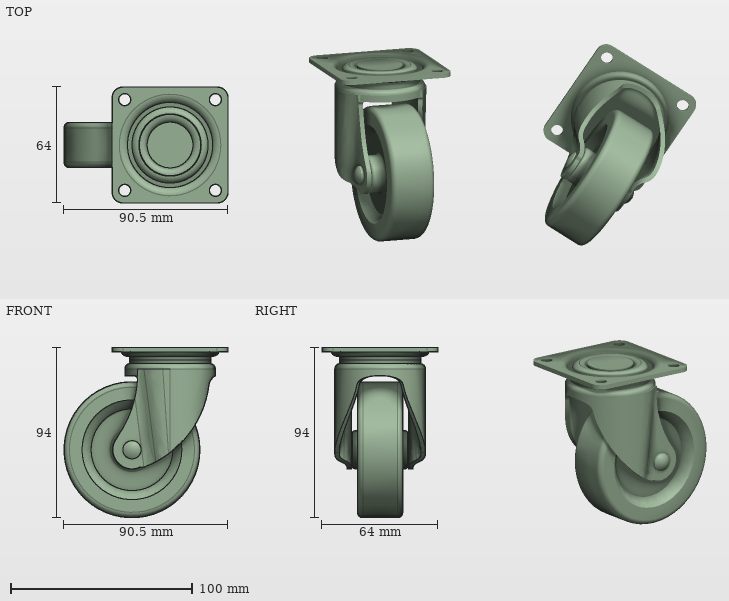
import cadquery as cq
import math


plate_side = 64.0
plate_thickness = 2.5
plate_corner_radius = 6.0
mount_hole_pitch = 50.0
mount_hole_diameter = 6.5
dish_depth = 2.5
dish_outer_radius = 28.0
dish_under_radius = 27.0
dish_floor_outer_radius = 23.5
dish_floor_inner_radius = 21.0
plate_bore_radius = 17.2
collar_radius = 22.5
collar_height = 2.0
dish_bottom_z = -(plate_thickness + dish_depth)
collar_joint_z = dish_bottom_z - collar_height

king_pin_flange_radius = 16.9
king_pin_radius = 12.6
king_pin_groove_depth = 1.9

wheel_radius = 37.5
swivel_offset = 21.0
axle_x = -swivel_offset
axle_z = -56.5

wheel_half_width = 12.5
tread_fillet = 3.0
recess_outer_radius = 27.5
recess_inner_radius = 22.5
recess_depth = 5.0
hub_radius = 10.5
hub_half_width = 15.25
hub_fillet = 1.5

axle_radius = 4.0
axle_head_radius = 5.0
bolt_head_rim = 1.35
bolt_head_dome = 2.2
rivet_head_rim = 0.6
rivet_head_dome = 1.4

sheet_thickness = 2.5
crown_radius = 25.0
crown_top_z = collar_joint_z - collar_height
crown_fillet = 3.0
crown_under_z = crown_top_z - sheet_thickness
skirt_top_z = crown_top_z - crown_fillet
crown_lip_z = -15.7
leg_outer_y = 18.25
leg_end_radius = 10.7
leg_front_x = -18.0
leg_root_radius = 2.0
back_hollow_mid = (22.8, -17.6)
back_curve_top = (21.5, -20.7)
back_curve_mid = (13.5, -43.3)
back_curve_bottom = (-14.5, -66.1)
boss_lower_angle = -65
boss_upper_angle = -215
front_curve_mid = (-21.4, -34.8)
skirt_bottom_z = -68.0
bend_concave_length = 7.0
bend_top_start_x = -21.4
bend_top_end_x = -4.0
bend_bottom_start_x = -14.2
bend_bottom_end_x = -0.2


def rolled_edge_mid(top_radius, bottom_radius, depth):
    """Middle point of an arc that leaves the top face smoothly and drops to depth at bottom_radius."""
    run = abs(bottom_radius - top_radius)
    arc_radius = (run ** 2 + depth ** 2) / (2 * depth)
    half_angle = math.asin(run / arc_radius) / 2
    step = math.copysign(arc_radius * math.sin(half_angle), bottom_radius - top_radius)
    return top_radius + step, arc_radius * (math.cos(half_angle) - 1)


def make_plate():
    half_pitch = mount_hole_pitch / 2
    corners = [(x, y) for x in (-half_pitch, half_pitch) for y in (-half_pitch, half_pitch)]
    sheet = (
        cq.Workplane("XY")
        .rect(plate_side, plate_side)
        .extrude(-plate_thickness)
        .edges("|Z")
        .fillet(plate_corner_radius)
        .cut(cq.Workplane("XY").pushPoints(corners).circle(mount_hole_diameter / 2).extrude(-plate_thickness))
        .cut(cq.Workplane("XY").circle(dish_under_radius).extrude(-plate_thickness))
    )
    dish = (
        cq.Workplane("XZ")
        .moveTo(plate_bore_radius, 0)
        .lineTo(plate_bore_radius, collar_joint_z)
        .lineTo(collar_radius, collar_joint_z)
        .lineTo(collar_radius, dish_bottom_z)
        .lineTo(dish_floor_outer_radius, dish_bottom_z)
        .tangentArcPoint((dish_under_radius, -plate_thickness), relative=False)
        .lineTo(dish_outer_radius, -plate_thickness)
        .lineTo(dish_outer_radius, 0)
        .lineTo(dish_floor_outer_radius, 0)
        .lineTo(dish_floor_outer_radius, -dish_depth)
        .lineTo(dish_floor_inner_radius, -dish_depth)
        .lineTo(dish_floor_inner_radius, 0)
        .close()
        .revolve()
    )
    groove = (
        cq.Workplane("XZ")
        .moveTo(dish_floor_inner_radius, -dish_depth)
        .lineTo(dish_floor_outer_radius, -dish_depth)
        .threePointArc(
            rolled_edge_mid(dish_outer_radius, dish_floor_outer_radius, dish_depth),
            (dish_outer_radius, 0),
        )
        .lineTo(plate_bore_radius, 0)
        .threePointArc(
            rolled_edge_mid(plate_bore_radius, dish_floor_inner_radius, dish_depth),
            (dish_floor_inner_radius, -dish_depth),
        )
        .close()
        .revolve()
    )
    return sheet.union(dish).cut(groove)


def make_king_pin():
    flange_and_stem = (
        cq.Workplane("XZ")
        .moveTo(0, -king_pin_groove_depth)
        .lineTo(king_pin_radius, -king_pin_groove_depth)
        .threePointArc(
            rolled_edge_mid(king_pin_flange_radius, king_pin_radius, king_pin_groove_depth),
            (king_pin_flange_radius, 0),
        )
        .lineTo(king_pin_flange_radius, collar_joint_z)
        .lineTo(king_pin_radius, collar_joint_z)
        .lineTo(king_pin_radius, crown_under_z)
        .lineTo(0, crown_under_z)
        .close()
        .revolve()
    )
    head = cq.Workplane("XY").circle(king_pin_radius).extrude(-king_pin_groove_depth)
    return flange_and_stem.union(head)


def skirt_section(z, start_x, end_x, inset):
    """Closed outline of both legs and the round skirt at height z, moved inwards by inset."""
    rise = crown_radius - leg_outer_y
    convex_length = end_x - start_x - bend_concave_length
    bend_angle = 2 * math.atan(rise / (bend_concave_length + convex_length))
    concave_radius = bend_concave_length / math.sin(bend_angle) + inset
    convex_radius = convex_length / math.sin(bend_angle) - inset
    leg_y = leg_outer_y - inset
    back_radius = crown_radius - inset
    front_x = axle_x - leg_end_radius

    def concave_point(angle):
        return start_x + concave_radius * math.sin(angle), leg_y + concave_radius * (1 - math.cos(angle))

    def convex_point(angle):
        return end_x - convex_radius * math.sin(angle), back_radius - convex_radius * (1 - math.cos(angle))

    def mirrored(point):
        return point[0], -point[1]

    half_angle = bend_angle / 2
    concave_mid = concave_point(half_angle)
    middle = concave_point(bend_angle)
    convex_mid = convex_point(half_angle)
    return (
        cq.Workplane("XY", origin=(0, 0, z))
        .moveTo(front_x, leg_y)
        .lineTo(start_x, leg_y)
        .threePointArc(concave_mid, middle)
        .threePointArc(convex_mid, (end_x, back_radius))
        .lineTo(0, back_radius)
        .threePointArc((back_radius, 0), (0, -back_radius))
        .lineTo(end_x, -back_radius)
        .threePointArc(mirrored(convex_mid), mirrored(middle))
        .threePointArc(mirrored(concave_mid), (start_x, -leg_y))
        .lineTo(front_x, -leg_y)
        .close()
        .wires()
        .val()
    )


def skirt_block(inset):
    """Solid that fills the fork between its legs and skirt, moved inwards by inset."""
    top = skirt_section(skirt_top_z, bend_top_start_x, bend_top_end_x, inset)
    bottom = skirt_section(skirt_bottom_z, bend_bottom_start_x, bend_bottom_end_x, inset)
    return cq.Workplane(cq.Solid.makeLoft([top, bottom], True))


def boss_point(angle_degrees):
    """Point on the rounded leg end, at an angle from +X about the axle."""
    angle = math.radians(angle_degrees)
    return axle_x + leg_end_radius * math.cos(angle), axle_z + leg_end_radius * math.sin(angle)


def side_outline():
    """Side shape of the legs and skirt, extruded across the full fork width."""
    return (
        cq.Workplane("XZ")
        .moveTo(leg_front_x, skirt_top_z)
        .lineTo(crown_radius, skirt_top_z)
        .lineTo(crown_radius, crown_lip_z)
        .threePointArc(back_hollow_mid, back_curve_top)
        .threePointArc(back_curve_mid, back_curve_bottom)
        .lineTo(*boss_point(boss_lower_angle))
        .threePointArc(boss_point((boss_lower_angle + boss_upper_angle) / 2), boss_point(boss_upper_angle))
        .threePointArc(front_curve_mid, (leg_front_x, crown_lip_z - leg_root_radius))
        .radiusArc((leg_front_x - leg_root_radius, crown_lip_z), -leg_root_radius)
        .lineTo(leg_front_x, crown_lip_z)
        .close()
        .extrude(crown_radius, both=True)
    )


def disc(radius, bottom_z, top_z):
    """Upright cylinder on the swivel axis."""
    return cq.Workplane("XY", origin=(0, 0, bottom_z)).circle(radius).extrude(top_z - bottom_z)


def back_half():
    """Block that covers everything behind the swivel axis, below the mounting plate."""
    return (
        cq.Workplane("XY", origin=(crown_radius, 0, skirt_bottom_z))
        .rect(2 * crown_radius, 2 * crown_radius)
        .extrude(-skirt_bottom_z)
    )


def make_back_wall():
    """Half-round rear of the skirt, whose trimmed edge runs square to the sheet."""
    core = disc(crown_radius, skirt_bottom_z, skirt_top_z).intersect(back_half()).intersect(side_outline())
    outer_face_middle = (crown_radius / 2, 0, skirt_top_z + skirt_bottom_z / 4)
    outer_face = core.faces(cq.selectors.NearestToPointSelector(outer_face_middle))
    return cq.Workplane(outer_face.val().thicken(-sheet_thickness))


def make_fork():
    crown = disc(crown_radius, crown_lip_z, crown_top_z).faces(">Z").edges().fillet(crown_fillet)
    crown_cavity = disc(crown_radius - sheet_thickness, crown_lip_z, crown_under_z)
    skirt = skirt_block(0).cut(skirt_block(sheet_thickness)).intersect(side_outline()).cut(back_half())
    collar = disc(collar_radius, crown_top_z, collar_joint_z)
    king_pin_bore = disc(king_pin_radius, crown_under_z, collar_joint_z)
    axle_hole = axle_cylinder(axle_radius, crown_radius)
    body = crown.cut(crown_cavity).union(skirt).union(make_back_wall()).union(collar)
    return body.cut(king_pin_bore).cut(axle_hole)


def turned_about_axle(profile):
    """Revolve a profile of (radius, Y) about the axle axis and move it to the axle."""
    return profile.close().revolve(360, (0, 0), (0, 1)).translate((axle_x, 0, axle_z))


def axle_cylinder(radius, half_length):
    """Cylinder along the axle axis, centred between the legs."""
    return cq.Workplane("XZ", origin=(axle_x, half_length, axle_z)).circle(radius).extrude(2 * half_length)


def make_wheel():
    web_half_width = wheel_half_width - recess_depth
    wheel = axle_cylinder(wheel_radius, wheel_half_width).edges().fillet(tread_fillet)
    for side in (1, -1):
        recess = turned_about_axle(
            cq.Workplane("XY")
            .moveTo(0, side * web_half_width)
            .lineTo(recess_inner_radius, side * web_half_width)
            .lineTo(recess_outer_radius, side * wheel_half_width)
            .lineTo(0, side * wheel_half_width)
        )
        hub_root = turned_about_axle(
            cq.Workplane("XY")
            .moveTo(hub_radius, side * web_half_width)
            .lineTo(hub_radius + hub_fillet, side * web_half_width)
            .radiusArc((hub_radius, side * (web_half_width + hub_fillet)), side * hub_fillet)
        )
        wheel = wheel.cut(recess).union(hub_root)
    hub = axle_cylinder(hub_radius, hub_half_width).edges().fillet(hub_fillet)
    return wheel.union(hub).cut(axle_cylinder(axle_radius, hub_half_width))


def make_axle():
    rivet_rim_y = -(leg_outer_y + rivet_head_rim)
    bolt_rim_y = leg_outer_y + bolt_head_rim

    def dome_mid(rim_y, height):
        sphere_radius = (axle_head_radius ** 2 + height ** 2) / (2 * abs(height))
        half_angle = math.asin(axle_head_radius / sphere_radius) / 2
        drop = math.copysign(sphere_radius * (1 - math.cos(half_angle)), height)
        return sphere_radius * math.sin(half_angle), rim_y + height - drop

    return turned_about_axle(
        cq.Workplane("XY")
        .moveTo(0, rivet_rim_y - rivet_head_dome)
        .threePointArc(dome_mid(rivet_rim_y, -rivet_head_dome), (axle_head_radius, rivet_rim_y))
        .lineTo(axle_head_radius, -leg_outer_y)
        .lineTo(axle_radius, -leg_outer_y)
        .lineTo(axle_radius, leg_outer_y)
        .lineTo(axle_head_radius, leg_outer_y)
        .lineTo(axle_head_radius, bolt_rim_y)
        .threePointArc(dome_mid(bolt_rim_y, bolt_head_dome), (0, bolt_rim_y + bolt_head_dome))
    )


plate = make_plate()
king_pin = make_king_pin()
fork = make_fork()
wheel = make_wheel()
axle = make_axle()
result = cq.Compound.makeCompound([plate.val(), king_pin.val(), fork.val(), wheel.val(), axle.val()])